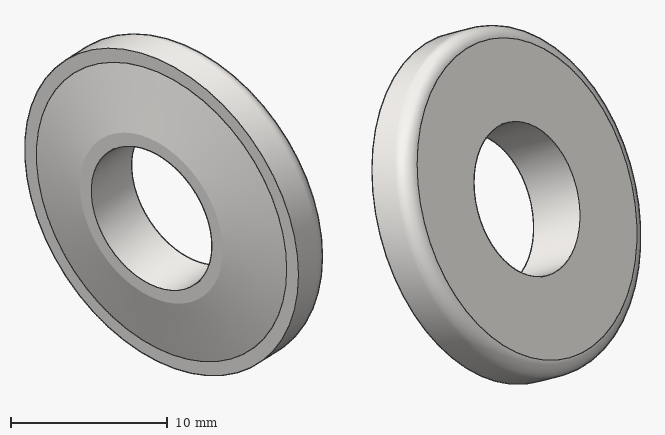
import cadquery as cq

outer_diameter = 22.95
overall_thickness = 4.0
wall = 0.99
ring_thickness = 3.0
bore_diameter = 10.1
land_diameter = 11.98

outer_radius = outer_diameter / 2
seal_radius = outer_radius - wall
bore_radius = bore_diameter / 2
land_radius = land_diameter / 2
round_radius = wall

back_y = overall_thickness / 2
rim_y = back_y - ring_thickness
land_y = back_y - overall_thickness


def revolve_about_y(profile):
    """Turn a closed XY profile (X = radius) into a solid of revolution."""
    return profile.close().revolve(360, (0, 0, 0), (0, 1, 0))


def make_retaining_ring():
    """Plain outer ring with a quarter-round back edge."""
    profile = (
        cq.Workplane("XY")
        .moveTo(seal_radius, rim_y)
        .lineTo(outer_radius, rim_y)
        .lineTo(outer_radius, back_y - round_radius)
        .radiusArc((seal_radius, back_y), -round_radius)
    )
    return revolve_about_y(profile)


def make_seal():
    """Inner disc with a through bore and a conical face ending in a flat land."""
    profile = (
        cq.Workplane("XY")
        .moveTo(bore_radius, back_y)
        .lineTo(seal_radius, back_y)
        .lineTo(seal_radius, rim_y)
        .lineTo(land_radius, land_y)
        .lineTo(bore_radius, land_y)
    )
    return revolve_about_y(profile)


retaining_ring = make_retaining_ring()
seal = make_seal()

result = cq.Compound.makeCompound([retaining_ring.val(), seal.val()])